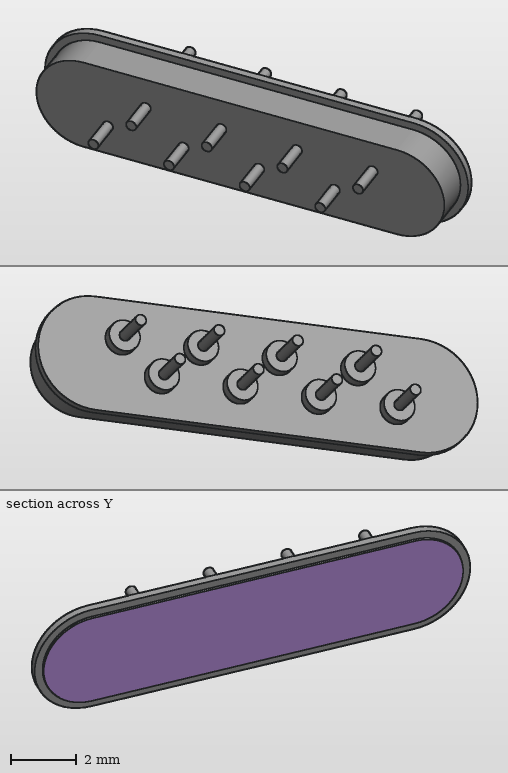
import cadquery as cq

flange_length = 14.22
flange_height = 3.68
flange_thickness = 0.25
rim_width = 0.25
body_depth = 1.15

pin_count = 8
pin_span = 8.89
row_spacing = 1.1
pin_diameter = 0.34
pin_length = 4.22
pin_front_length = 1.04
collar_diameter = 1.0
collar_height = 0.35

pin_pitch = pin_span / (pin_count - 1)
body_length = flange_length - 2 * rim_width
body_height = flange_height - 2 * rim_width

flange_front = body_depth
flange_back = flange_front + flange_thickness


def plane_at(y):
    """Plane facing -Y, with its local x along X and its local y along Z."""
    return cq.Workplane("XZ", origin=(0, y, 0))


def stadium(length, height, y, depth):
    return plane_at(y).slot2D(length, height).extrude(-depth)


def cylinders(points, diameter, y, depth):
    return plane_at(y).pushPoints(points).circle(diameter / 2).extrude(-depth)


pin_points = []
for i in range(pin_count):
    x = i * pin_pitch - pin_span / 2
    z = row_spacing / 2 if i % 2 else -row_spacing / 2
    pin_points.append((x, z))

body = stadium(body_length, body_height, 0, body_depth)
flange = stadium(flange_length, flange_height, flange_front, flange_thickness)
collars = cylinders(pin_points, collar_diameter, flange_back, collar_height)
pins = cylinders(pin_points, pin_diameter, -pin_front_length, pin_length)

result = body.union(flange).union(collars).union(pins)